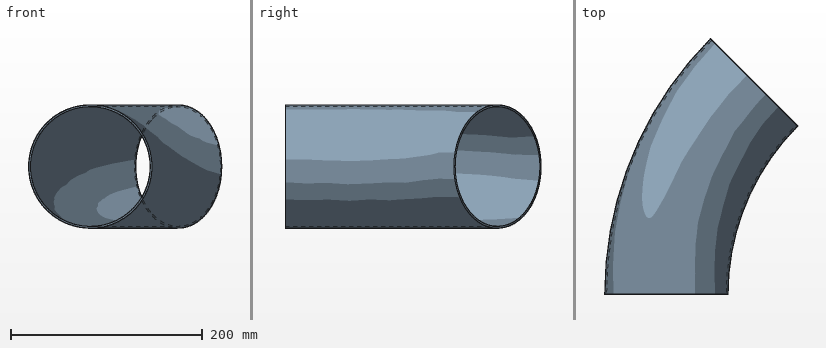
import cadquery as cq

outer_diameter = 129.0
wall_thickness = 2.0
bend_radius = 313.0
bend_angle = 45.0

outer_radius = outer_diameter / 2
inner_radius = outer_radius - wall_thickness

pipe_section = cq.Workplane("XZ").circle(outer_radius).circle(inner_radius)

axis_top = (bend_radius, outer_radius)
axis_bottom = (bend_radius, -outer_radius)

result = pipe_section.revolve(bend_angle, axis_top, axis_bottom)